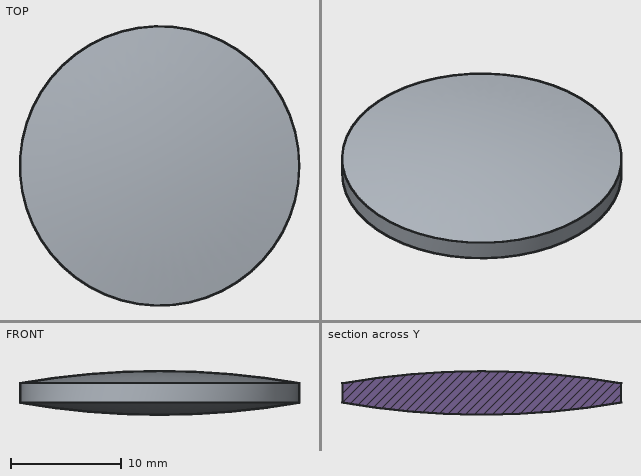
import cadquery as cq

diameter = 25.4
centre_thickness = 4.0
edge_thickness = 1.78

radius = diameter / 2
half_centre = centre_thickness / 2
half_edge = edge_thickness / 2


def lens_profile():
    """Half section of the lens in the XZ plane, closed along the optical axis."""
    sag = half_centre - half_edge
    sphere_radius = (radius**2 + sag**2) / (2 * sag)
    return (
        cq.Workplane("XZ")
        .moveTo(0, -half_centre)
        .radiusArc((radius, -half_edge), -sphere_radius)
        .lineTo(radius, half_edge)
        .radiusArc((0, half_centre), -sphere_radius)
        .close()
    )


result = lens_profile().revolve(360, (0, 0, 0), (0, 1, 0))